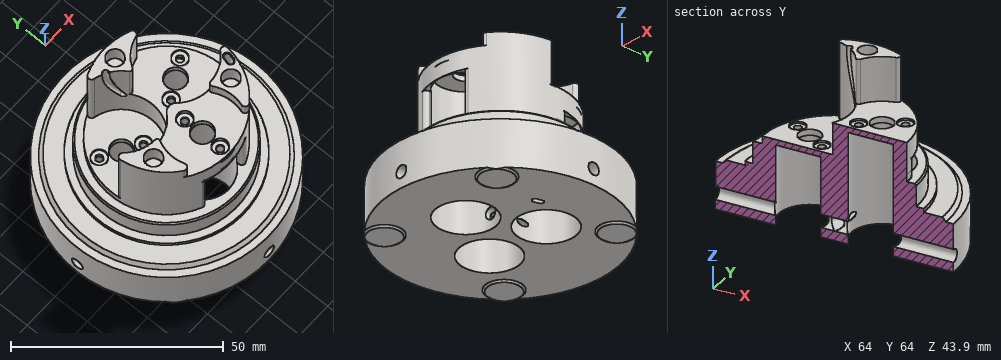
import cadquery as cq
import math

FOOT_HEIGHT = 0.5
RIM_TOP = 13.0
SHOULDER_TOP = 14.0
FLANGE_TOP = 15.0
COLLAR_TOP = 21.0
TOWER_TOP = 43.4
FLOOR_STEP = 8.45
LOW_FLOOR = 23.0
MIDDLE_FLOOR = LOW_FLOOR + FLOOR_STEP
HIGH_FLOOR = MIDDLE_FLOOR + FLOOR_STEP

BASE_DIA = 64.0
SHOULDER_DIA = 60.0
FLANGE_DIA = 48.1
COLLAR_DIA = 44.0
TOWER_DIA = 39.0
COLLAR_CHAMFER = 0.4
BEVEL_ANGLE = 45

STATION_RADIUS = 11.2
LOW_STATION = (150, LOW_FLOOR, 10.75, 5.95, 0.5)
MIDDLE_STATION = (30, MIDDLE_FLOOR, 10.6, 5.95, 0.5)
HIGH_STATION = (270, HIGH_FLOOR, 10.7, 6.08, 1.2)
STATIONS = (LOW_STATION, MIDDLE_STATION, HIGH_STATION)

POST_RIM_RADIUS = 1.0
POST_TIP_RADIUS = 0.7
CENTRE_TIP_RADIUS = 2.2
RIM_ZONE_RADIUS = 15.0
HUB_RADIUS = 3.0

SCREW_OFFSET = 5.5
SCREW_DIA = 2.0
COUNTERBORE_DIA = 4.2

BORE_DIA = 16.4
FLOOR_THICKNESS = 1.6
WINDOW_DROP = 5.5
WINDOW_HALF_WIDTH = 6.4
WINDOW_EDGE_RADIUS = 1.0

POST_DIRECTIONS = (90, 210, 330)
POST_HOLE_RADIUS = 16.0
POST_HOLE_DIA = 4.7
POST_HOLE_DEPTH = 5.0

SLOT_WIDTH = 1.6
SLOT_CHAMFER = 0.2
SLOT_RADIUS = 17.9
SLOT_DIRECTION = -13.9
SLOT_LENGTH = 3.1
GROOVE_DIA = 1.8
GROOVE_TOP_ANGLE = 61.0
GROOVE_END_ANGLE = 38.5
GROOVE_END_Z = 30.6
GROOVE_END_DEPTH = 0.5
GROOVE_BEND = 2.1
GROOVE_STEPS = 4

SIDE_HOLE_DIA = 3.4
SIDE_HOLE_Z = 4.4
FOOT_DIRECTIONS = (45, 135, 225, 315)
FOOT_CENTRE_RADIUS = 27.3
FOOT_DIA = 10.2


def polar(radius, degrees):
    angle = math.radians(degrees)
    return (radius * math.cos(angle), radius * math.sin(angle))


def cylinder(centre, diameter, bottom, top):
    return cq.Workplane("XY", origin=(*centre, bottom)).circle(diameter / 2).extrude(top - bottom)


def tapered_disc(centre, diameter, start, height):
    """Disc that narrows at 45 degrees; a negative height makes it grow downward."""
    return cq.Workplane("XY", origin=(*centre, start)).circle(diameter / 2).extrude(height, taper=BEVEL_ANGLE)


def turned_base():
    """Base disc, shoulder, flange and collar stacked on the Z axis."""
    axis = (0, 0)
    base = cylinder(axis, BASE_DIA, 0, RIM_TOP)
    shoulder = tapered_disc(axis, SHOULDER_DIA, RIM_TOP, SHOULDER_TOP - RIM_TOP)
    flange = cylinder(axis, FLANGE_DIA, SHOULDER_TOP, FLANGE_TOP)
    collar = cylinder(axis, COLLAR_DIA, FLANGE_TOP, COLLAR_TOP).faces(">Z").chamfer(COLLAR_CHAMFER)
    return base.union(shoulder).union(flange).union(collar)


def foot(direction):
    """Round pad under the base, bevelled at 45 degrees and trimmed to the base rim."""
    pad = tapered_disc(polar(FOOT_CENTRE_RADIUS, direction), FOOT_DIA, 0, -FOOT_HEIGHT)
    return pad.intersect(cylinder((0, 0), BASE_DIA, -FOOT_HEIGHT, 0))


def round_corners(outline, inner_limit, outer_limit, rounding):
    """Round the corners of a flat face that lie between two distances from the axis."""
    corners = []
    for corner in outline.Vertices():
        if inner_limit < math.hypot(corner.X, corner.Y) < outer_limit:
            corners.append(corner)
    return outline.fillet2D(rounding, corners) if corners else outline


def tower_level(bottom, top, open_stations, clear_hub=False):
    """Slice of the tower with the given pockets cut away and its upright edges rounded."""
    level = cylinder((0, 0), TOWER_DIA, bottom, top).rotate((0, 0, 0), (0, 0, 1), LOW_STATION[0])
    for direction, _, radius, _, _ in open_stations:
        level = level.cut(cylinder(polar(STATION_RADIUS, direction), 2 * radius, bottom, top))
    if clear_hub:
        level = level.cut(cylinder((0, 0), 2 * HUB_RADIUS, bottom, top))

    rounded_level = cq.Workplane("XY")
    for outline in level.faces("<Z").vals():
        outline = round_corners(outline, 0, HUB_RADIUS, CENTRE_TIP_RADIUS)
        outline = round_corners(outline, HUB_RADIUS, RIM_ZONE_RADIUS, POST_TIP_RADIUS)
        outline = round_corners(outline, RIM_ZONE_RADIUS, TOWER_DIA, POST_RIM_RADIUS)
        rounded_level = rounded_level.add(cq.Solid.extrudeLinear(outline, cq.Vector(0, 0, top - bottom)))
    return rounded_level.combine()


def tower():
    foundation = cylinder((0, 0), TOWER_DIA, COLLAR_TOP, LOW_FLOOR)
    low = tower_level(LOW_FLOOR, MIDDLE_FLOOR, (LOW_STATION,))
    middle = tower_level(MIDDLE_FLOOR, HIGH_FLOOR, (LOW_STATION, MIDDLE_STATION))
    posts = tower_level(HIGH_FLOOR, TOWER_TOP, STATIONS, clear_hub=True)
    return foundation.union(low).union(middle).union(posts)


def station_holes(station):
    """Centre hole and two counterbored screw holes, drilled from the pocket floor."""
    direction, floor, _, hole_dia, counterbore_depth = station
    holes = cylinder(polar(STATION_RADIUS, direction), hole_dia, 0, floor)
    for offset in (-SCREW_OFFSET, SCREW_OFFSET):
        place = polar(STATION_RADIUS + offset, direction)
        holes = holes.union(cylinder(place, SCREW_DIA, 0, floor))
        holes = holes.union(cylinder(place, COUNTERBORE_DIA, floor - counterbore_depth, floor))
    return holes


def station_bore(station):
    """Bore from the underside; above the collar it opens through the tower wall."""
    direction, floor, _, _, _ = station
    bore = cylinder(polar(STATION_RADIUS, direction), BORE_DIA, 0, floor - FLOOR_THICKNESS)
    window_top = floor - WINDOW_DROP
    if window_top <= COLLAR_TOP:
        return bore
    height = window_top - COLLAR_TOP
    tower_radius = TOWER_DIA / 2
    gate = cq.Workplane("XY", origin=(STATION_RADIUS, 0, COLLAR_TOP)).box(
        tower_radius, 2 * WINDOW_HALF_WIDTH, height, centered=(False, True, False)
    )
    jamb_y = WINDOW_HALF_WIDTH + WINDOW_EDGE_RADIUS
    jamb_x = math.sqrt((tower_radius - WINDOW_EDGE_RADIUS) ** 2 - jamb_y**2)
    reach = tower_radius / (tower_radius - WINDOW_EDGE_RADIUS)
    for side in (-1, 1):
        flare = (
            cq.Workplane("XY", origin=(0, 0, COLLAR_TOP))
            .moveTo(jamb_x, side * WINDOW_HALF_WIDTH)
            .lineTo(tower_radius, side * WINDOW_HALF_WIDTH)
            .lineTo(jamb_x * reach, side * jamb_y * reach)
            .lineTo(jamb_x, side * jamb_y)
            .close()
            .extrude(height)
        )
        jamb = cylinder((jamb_x, side * jamb_y), 2 * WINDOW_EDGE_RADIUS, COLLAR_TOP, window_top)
        gate = gate.union(flare.cut(jamb))
    return bore.union(gate.rotate((0, 0, 0), (0, 0, 1), direction))


def wire_slot():
    """Through slot with a chamfered mouth in the top of one post."""
    slot = cq.Workplane("XY").center(SLOT_RADIUS, 0).slot2D(SLOT_LENGTH, SLOT_WIDTH, 90).extrude(TOWER_TOP)
    mouth = (
        cq.Workplane("XY", origin=(SLOT_RADIUS, 0, TOWER_TOP))
        .slot2D(SLOT_LENGTH + 2 * SLOT_CHAMFER, SLOT_WIDTH + 2 * SLOT_CHAMFER, 90)
        .extrude(-SLOT_CHAMFER, taper=BEVEL_ANGLE)
    )
    return slot.union(mouth).rotate((0, 0, 0), (0, 0, 1), SLOT_DIRECTION)


def wire_groove():
    """Round-bottomed groove that curves down the wall of the low pocket."""
    direction, _, pocket_radius, _, _ = LOW_STATION
    centre_x, centre_y = polar(STATION_RADIUS, direction)

    def wall_point(fraction):
        turn = (GROOVE_END_ANGLE - GROOVE_TOP_ANGLE) * fraction**GROOVE_BEND
        sunk_radius = pocket_radius + GROOVE_END_DEPTH * fraction**GROOVE_BEND
        x, y = polar(sunk_radius, GROOVE_TOP_ANGLE + turn)
        return (centre_x + x, centre_y + y, TOWER_TOP + (GROOVE_END_Z - TOWER_TOP) * fraction)

    path_points = [wall_point(step / GROOVE_STEPS) for step in range(GROOVE_STEPS + 1)]
    path = cq.Workplane("XY").spline(path_points)
    profile = cq.Workplane("XY", origin=path_points[0]).circle(GROOVE_DIA / 2)
    end_ball = cq.Workplane("XY", origin=path_points[-1]).sphere(GROOVE_DIA / 2)
    return profile.sweep(path).union(end_ball)


result = turned_base().union(tower())
for foot_direction in FOOT_DIRECTIONS:
    result = result.union(foot(foot_direction))

for pocket_station in STATIONS:
    result = result.cut(station_holes(pocket_station)).cut(station_bore(pocket_station))

for post_direction in POST_DIRECTIONS:
    post_centre = polar(POST_HOLE_RADIUS, post_direction)
    result = result.cut(cylinder(post_centre, POST_HOLE_DIA, TOWER_TOP - POST_HOLE_DEPTH, TOWER_TOP))

result = result.cut(wire_slot()).cut(wire_groove())

for plane in ("XZ", "YZ"):
    side_hole = (
        cq.Workplane(plane)
        .center(0, SIDE_HOLE_Z)
        .circle(SIDE_HOLE_DIA / 2)
        .extrude(BASE_DIA / 2, both=True)
    )
    result = result.cut(side_hole)